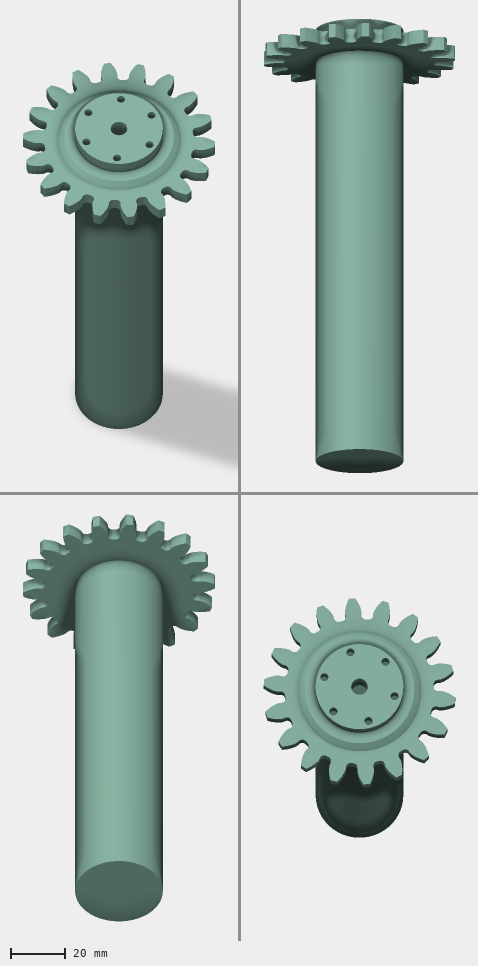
import cadquery as cq
import math

total_length = 163.0
hub_height = 5.0
cone_height = 2.0
gear_thickness = 5.0
neck_length = 1.0

shaft_diameter = 32.0
hub_diameter = shaft_diameter
neck_diameter = 31.8
cone_base_diameter = 45.0
cone_top_diameter = 40.0

center_hole_diameter = 6.0
center_hole_depth = 9.8
bolt_hole_diameter = 3.0
bolt_hole_depth = 4.9
bolt_circle_diameter = 26.5
bolt_hole_count = 6

tooth_count = 18
tip_diameter = 70.0
addendum_in_modules = 1.0
dedendum_in_modules = 1.25
flank_steps = 5
pressure_angle = math.radians(20)
root_fillet = 1.6
module = tip_diameter / (tooth_count + 2 * addendum_in_modules)
pitch_radius = module * tooth_count / 2
tip_radius = tip_diameter / 2
root_radius = pitch_radius - dedendum_in_modules * module
base_radius = pitch_radius * math.cos(pressure_angle)
half_pitch_angle = math.pi / tooth_count

hub_bottom = total_length - hub_height
gear_top = hub_bottom - cone_height
gear_bottom = gear_top - gear_thickness
neck_bottom = gear_bottom - neck_length


def polar(radius, angle):
    """X and Y of a point at a radius and an angle."""
    return (radius * math.cos(angle), radius * math.sin(angle))


def tooth_half_angle(radius):
    """Angle from the tooth's centre line to its involute flank at a radius."""
    roll_angle = math.acos(base_radius / radius)
    involute = math.tan(roll_angle) - roll_angle
    pitch_involute = math.tan(pressure_angle) - pressure_angle
    return half_pitch_angle / 2 + pitch_involute - involute


def flank_points(side):
    """Points on one involute flank, base to tip, for a tooth centred on +X."""
    points = []
    for step in range(flank_steps + 1):
        radius = base_radius + (tip_radius - base_radius) * step / flank_steps
        points.append(polar(radius, side * tooth_half_angle(radius)))
    return points


def turned(point, angle):
    """Point rotated about the gear axis."""
    x, y = point
    radius = math.hypot(x, y)
    return polar(radius, math.atan2(y, x) + angle)


def gap_points():
    """Upper half of a tooth gap centred on +X: parallel wall, then a fillet onto the root circle."""
    gap_half_width = base_radius * math.sin(half_pitch_angle - tooth_half_angle(base_radius))
    center_y = gap_half_width - root_fillet
    center_x = math.sqrt((root_radius + root_fillet) ** 2 - center_y ** 2)
    root_angle = math.atan2(center_y, center_x)
    middle_angle = (math.pi / 2 + math.pi + root_angle) / 2
    wall_end = (center_x, gap_half_width)
    fillet_middle = (
        center_x + root_fillet * math.cos(middle_angle),
        center_y + root_fillet * math.sin(middle_angle),
    )
    return wall_end, fillet_middle, polar(root_radius, root_angle)


def mirrored(point):
    """Point reflected across the X axis."""
    return (point[0], -point[1])


def gear_outline():
    """Closed outline, one tooth and the gap after it at a time, counterclockwise."""
    lower_flank = flank_points(-1)
    upper_flank = flank_points(1)[::-1]
    wall_end, fillet_middle, root_end = gap_points()
    outline = cq.Workplane("XY").workplane(offset=gear_bottom).moveTo(*lower_flank[0])
    for index in range(tooth_count):
        tooth_angle = 2 * half_pitch_angle * index
        gap_angle = tooth_angle + half_pitch_angle
        rising = [turned(point, tooth_angle) for point in lower_flank]
        falling = [turned(point, tooth_angle) for point in upper_flank]
        outline = outline.spline(rising[1:], includeCurrent=True)
        outline = outline.threePointArc(polar(tip_radius, tooth_angle), falling[0])
        outline = outline.spline(falling[1:], includeCurrent=True)
        outline = outline.lineTo(*turned(mirrored(wall_end), gap_angle))
        outline = outline.threePointArc(
            turned(mirrored(fillet_middle), gap_angle), turned(mirrored(root_end), gap_angle)
        )
        outline = outline.threePointArc(polar(root_radius, gap_angle), turned(root_end, gap_angle))
        outline = outline.threePointArc(turned(fillet_middle, gap_angle), turned(wall_end, gap_angle))
        if index < tooth_count - 1:
            outline = outline.lineTo(*turned(lower_flank[0], tooth_angle + 2 * half_pitch_angle))
    return outline.close()


def turned_body():
    """Shaft, slightly narrower neck, cone and hub as one revolved profile."""
    profile = [
        (0, 0),
        (shaft_diameter / 2, 0),
        (shaft_diameter / 2, neck_bottom),
        (neck_diameter / 2, neck_bottom),
        (neck_diameter / 2, gear_top),
        (cone_base_diameter / 2, gear_top),
        (cone_top_diameter / 2, hub_bottom),
        (hub_diameter / 2, hub_bottom),
        (hub_diameter / 2, total_length),
        (0, total_length),
    ]
    return cq.Workplane("XZ").polyline(profile).close().revolve(360, (0, 0, 0), (0, 1, 0))


def end_face_holes():
    """Blind centre hole and the ring of blind bolt holes, the first one on +Y."""
    end_face = cq.Workplane("XY").workplane(offset=total_length)
    center_hole = end_face.circle(center_hole_diameter / 2).extrude(-center_hole_depth)
    bolt_holes = (
        end_face.polarArray(bolt_circle_diameter / 2, 90, 360, bolt_hole_count)
        .circle(bolt_hole_diameter / 2)
        .extrude(-bolt_hole_depth)
    )
    return center_hole.union(bolt_holes)


gear = gear_outline().extrude(gear_thickness)
result = turned_body().union(gear).cut(end_face_holes())